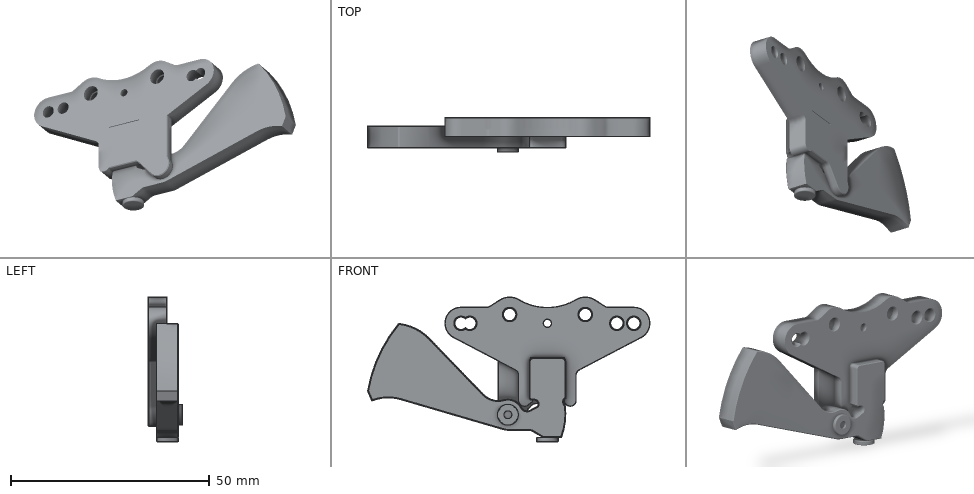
import cadquery as cq
import math


plate_thickness = 4.8
wall_thickness = 2.1
lever_thickness = 5.55
lever_front = wall_thickness + lever_thickness
edge_chamfer = 0.2

small_hole_diameter = 2.0
hole_diameter = 3.1
hole_chamfer = 0.25
counterbore_diameter = 4.0
counterbore_depth = 3.0
ear_hole_x = 21.8
ear_radius = 4.05
left_inner_hole_x = -19.6
right_inner_hole_x = 17.5
lobe_x = 9.5
lobe_z = 2.2
lobe_radius = 4.4
valley_z = 4.0
lobe_slope = 32
ear_corner_radius = 1.5
lower_slope = 27.6
leg_outer_x = 7.25
leg_radius = 1.5
leg_bottom_z = -20.9
armpit_radius = 1.5
toe_tip = (-3.7, -19.7)

block_left_x = -4.55
block_right_x = 4.6
block_top_z = -8.7
block_corner_radius = 0.9
block_bottom_z = -28.75

pivot = (-9.95, -23.05)
arm_radius = 3.9
pivot_head_diameter = 5.3
head_height = 1.0
head_fillet = 0.2
socket_diameter = 2.0
socket_depth = 0.7

wall_left_x = -12.45
wall_boss_diameter = 5.9
wall_boss_radius = wall_boss_diameter / 2
wall_ledge_z = -20.3
wall_slope = 49
wall_fillet = 1.4

paddle_radius = 35.9
paddle_top_angle = 140.1
paddle_bottom_angle = 170.4
paddle_corner_radius = 0.6
paddle_tip = (-44.25, -19.6)
paddle_upper_start_x = -29.8
paddle_lower_start_x = -37.0
upper_edge_slope = 46.0
lower_edge_slope = 16.3
upper_fillet_radius = 5.1
upper_fillet_angle = 106

hook_radius = 1.6
hook_angle = 27.3
hook_floor_slope = 28
hook_end_x = -2.5
hook_end_side = (-2.35, -20.2)
hook_roof = (-3.3, -19.35)
hook_mouth_z = -18.9
hook_mouth_run = 0.35

notch_x = 4.05
notch_top_z = -18.9
notch_bottom = (4.5, -20.65)
heel_side = (4.5, -25.1)
heel_x = 3.55
foot_left_x = -1.15
foot_slope_top_x = -4.2
foot_fillet = 2.1

foot_head_diameter = 5.5
foot_head_height = 1.15
foot_head_fillet = 0.25


def polar(center, radius, angle):
    """Point at an angle, in degrees from +X towards +Z, on a circle."""
    a = math.radians(angle)
    return (center[0] + radius * math.cos(a), center[1] + radius * math.sin(a))


def tangent_arc_middle(start, direction, end):
    """Middle of the arc that leaves start in a direction, in degrees, and finishes at end."""
    chord_x = end[0] - start[0]
    chord_z = end[1] - start[1]
    turn = math.atan2(chord_z, chord_x) - math.radians(direction)
    bulge = math.tan(math.remainder(turn, 2 * math.pi) / 2)
    return (
        start[0] + (chord_x + bulge * chord_z) / 2,
        start[1] + (chord_z - bulge * chord_x) / 2,
    )


def mirrored(point):
    """Outline point on the other side of the plate's middle."""
    return (-point[0], point[1])


def front_plane(depth=0):
    """XZ sketch plane at a depth in front of the back face."""
    return cq.Workplane("XZ", origin=(0, -depth, 0))


def fillet_at(body, point, radius):
    """Round the edge along Y that passes through an outline corner."""
    reach = 0.15
    box = cq.selectors.BoxSelector(
        (point[0] - reach, -lever_front, point[1] - reach),
        (point[0] + reach, lever_front, point[1] + reach),
    )
    return body.edges("|Y").edges(box).fillet(radius)


def make_plate():
    lobe = (lobe_x, lobe_z)
    ear = (ear_hole_x, 0)
    drop = valley_z - lobe_z
    valley_radius = (lobe_x**2 + drop**2 - lobe_radius**2) / (2 * (lobe_radius - drop))
    valley_angle = math.degrees(math.atan2(valley_z + valley_radius - lobe_z, -lobe_x))

    lobe_inner = polar(lobe, lobe_radius, valley_angle)
    lobe_outer = polar(lobe, lobe_radius, 90 - lobe_slope)
    slope_run = (lobe_outer[1] - ear_radius) / math.tan(math.radians(lobe_slope))
    ear_corner = (lobe_outer[0] + slope_run, ear_radius)
    ear_bottom = polar(ear, ear_radius, lower_slope - 90)
    slope_drop = (ear_bottom[0] - leg_outer_x) * math.tan(math.radians(lower_slope))
    armpit = (leg_outer_x, ear_bottom[1] - slope_drop)
    leg_x = leg_outer_x - leg_radius
    leg_inner_x = leg_x - leg_radius
    leg_center = (-leg_x, leg_bottom_z + leg_radius)

    plate = (
        front_plane()
        .moveTo(*mirrored(lobe_inner))
        .threePointArc((0, valley_z), lobe_inner)
        .threePointArc((lobe_x, lobe_z + lobe_radius), lobe_outer)
        .lineTo(*ear_corner)
        .lineTo(ear_hole_x, ear_radius)
        .threePointArc((ear_hole_x + ear_radius, 0), ear_bottom)
        .lineTo(*armpit)
        .lineTo(leg_outer_x, leg_center[1])
        .threePointArc((leg_x, leg_bottom_z), (leg_inner_x, leg_center[1]))
        .lineTo(leg_inner_x, block_top_z)
        .lineTo(-leg_inner_x, block_top_z)
        .lineTo(-leg_inner_x, hook_roof[1])
        .lineTo(toe_tip[0], hook_roof[1])
        .lineTo(*toe_tip)
        .lineTo(*polar(leg_center, leg_radius, -45))
        .threePointArc((-leg_x, leg_bottom_z), (-leg_outer_x, leg_center[1]))
        .lineTo(*mirrored(armpit))
        .lineTo(*mirrored(ear_bottom))
        .threePointArc((-ear_hole_x - ear_radius, 0), (-ear_hole_x, ear_radius))
        .lineTo(*mirrored(ear_corner))
        .lineTo(*mirrored(lobe_outer))
        .threePointArc((-lobe_x, lobe_z + lobe_radius), mirrored(lobe_inner))
        .close()
        .extrude(plate_thickness)
    )
    for corner, radius in ((ear_corner, ear_corner_radius), (armpit, armpit_radius)):
        plate = fillet_at(plate, corner, radius)
        plate = fillet_at(plate, mirrored(corner), radius)
    return plate


def cut_plate_holes(body):
    centers = [
        (-ear_hole_x, 0),
        (left_inner_hole_x, 0),
        (-lobe_x, lobe_z),
        (lobe_x, lobe_z),
        (right_inner_hole_x, 0),
        (ear_hole_x, 0),
    ]
    for center in centers:
        drill = front_plane().center(*center).circle(hole_diameter / 2).extrude(plate_thickness)
        body = body.cut(drill)
        countersink = cq.Solid.makeCone(
            hole_diameter / 2 + hole_chamfer,
            hole_diameter / 2,
            hole_chamfer,
            pnt=cq.Vector(center[0], -plate_thickness, center[1]),
            dir=cq.Vector(0, 1, 0),
        )
        body = body.cut(cq.Workplane(countersink))
    for x in (-lobe_x, lobe_x):
        counterbore = (
            front_plane()
            .center(x, lobe_z)
            .circle(counterbore_diameter / 2)
            .extrude(counterbore_depth)
        )
        body = body.cut(counterbore)
    small_hole = front_plane().circle(small_hole_diameter / 2).extrude(plate_thickness)
    return body.cut(small_hole)


def make_wall():
    """Thin wall closing the back of the slot and carrying the pivot boss."""
    boss_side_z = pivot[1] + math.sqrt(wall_boss_radius**2 - (wall_left_x - pivot[0]) ** 2)
    boss_right = polar(pivot, wall_boss_radius, wall_slope - 90)
    ledge_run = (wall_ledge_z - boss_right[1]) / math.tan(math.radians(wall_slope))
    ledge_corner = (boss_right[0] + ledge_run, wall_ledge_z)
    leg_x = leg_outer_x - leg_radius
    wall = (
        front_plane()
        .moveTo(wall_left_x, block_top_z)
        .lineTo(wall_left_x, boss_side_z)
        .threePointArc((pivot[0], pivot[1] - wall_boss_radius), boss_right)
        .lineTo(*ledge_corner)
        .lineTo(leg_x, wall_ledge_z)
        .lineTo(leg_x, block_top_z)
        .close()
        .extrude(wall_thickness)
    )
    wall = fillet_at(wall, ledge_corner, wall_fillet)
    wall = fillet_at(wall, (wall_left_x, boss_side_z), wall_fillet)
    return wall.faces(">Y").chamfer(edge_chamfer)


def make_lever():
    upper_center = polar(pivot, arm_radius + upper_fillet_radius, upper_fillet_angle)
    upper_line_end = polar(upper_center, upper_fillet_radius, 270 - upper_edge_slope)
    upper_arm_end = polar(pivot, arm_radius, upper_fillet_angle)
    upper_fillet_middle_angle = 225 + (upper_fillet_angle - upper_edge_slope) / 2
    upper_fillet_middle = polar(upper_center, upper_fillet_radius, upper_fillet_middle_angle)
    arm_top = polar(pivot, arm_radius, (upper_fillet_angle + hook_angle) / 2)
    hook_center = polar(pivot, arm_radius + hook_radius, hook_angle)
    hook_arm_end = polar(pivot, arm_radius, hook_angle)
    hook_floor = polar(hook_center, hook_radius, hook_floor_slope - 90)
    hook_bottom = polar(hook_center, hook_radius, 225 + (hook_angle + hook_floor_slope) / 2)
    hook_rise = (hook_end_x - hook_floor[0]) * math.tan(math.radians(hook_floor_slope))

    arm_lower_left = polar(pivot, arm_radius, 270 - lower_edge_slope)
    arm_bottom_z = pivot[1] - arm_radius
    lower_run = arm_lower_left[0] - paddle_lower_start_x
    paddle_lower_z = arm_lower_left[1] + lower_run * math.tan(math.radians(lower_edge_slope))
    paddle_lower_start = (paddle_lower_start_x, paddle_lower_z)
    underside_middle = tangent_arc_middle(paddle_lower_start, 180 - lower_edge_slope, paddle_tip)

    upper_run = upper_line_end[0] - paddle_upper_start_x
    paddle_upper_z = upper_line_end[1] + upper_run * math.tan(math.radians(upper_edge_slope))
    paddle_upper_start = (paddle_upper_start_x, paddle_upper_z)
    paddle_top = polar(pivot, paddle_radius, paddle_top_angle)
    shoulder_middle = tangent_arc_middle(paddle_upper_start, 180 - upper_edge_slope, paddle_top)
    paddle_mid_angle = (paddle_top_angle + paddle_bottom_angle) / 2
    foot_slope_top = (foot_slope_top_x, arm_bottom_z)

    lever = (
        front_plane(wall_thickness)
        .moveTo(block_left_x, block_top_z)
        .lineTo(block_right_x, block_top_z)
        .lineTo(block_right_x, notch_top_z)
        .threePointArc((notch_x, (notch_top_z + notch_bottom[1]) / 2), notch_bottom)
        .threePointArc(heel_side, (heel_x, block_bottom_z))
        .lineTo(foot_left_x, block_bottom_z)
        .lineTo(*foot_slope_top)
        .lineTo(pivot[0], arm_bottom_z)
        .threePointArc(polar(pivot, arm_radius, 270 - lower_edge_slope / 2), arm_lower_left)
        .lineTo(*paddle_lower_start)
        .threePointArc(underside_middle, paddle_tip)
        .lineTo(*polar(pivot, paddle_radius, paddle_bottom_angle))
        .threePointArc(polar(pivot, paddle_radius, paddle_mid_angle), paddle_top)
        .threePointArc(shoulder_middle, paddle_upper_start)
        .lineTo(*upper_line_end)
        .threePointArc(upper_fillet_middle, upper_arm_end)
        .threePointArc(arm_top, hook_arm_end)
        .threePointArc(hook_bottom, hook_floor)
        .lineTo(hook_end_x, hook_floor[1] + hook_rise)
        .threePointArc(hook_end_side, hook_roof)
        .lineTo(block_left_x + hook_mouth_run, hook_roof[1])
        .lineTo(block_left_x, hook_mouth_z)
        .close()
        .extrude(lever_thickness)
    )
    for x in (block_left_x, block_right_x):
        lever = fillet_at(lever, (x, block_top_z), block_corner_radius)
    lever = fillet_at(lever, foot_slope_top, foot_fillet)
    lever = fillet_at(lever, paddle_top, paddle_corner_radius)
    return lever.faces("<Y").chamfer(edge_chamfer)


def make_pivot_head():
    head = front_plane(lever_front).center(*pivot).circle(pivot_head_diameter / 2).extrude(head_height)
    head = head.edges().fillet(head_fillet)
    socket = (
        front_plane(lever_front + head_height - socket_depth)
        .center(*pivot)
        .circle(socket_diameter / 2)
        .extrude(socket_depth)
    )
    return head.cut(socket)


def make_foot_head():
    return (
        cq.Workplane("XY", origin=(0, -wall_thickness - lever_thickness / 2, block_bottom_z))
        .circle(foot_head_diameter / 2)
        .extrude(-foot_head_height)
        .edges()
        .fillet(foot_head_fillet)
    )


result = cut_plate_holes(make_plate())
for piece in (make_wall(), make_lever(), make_pivot_head(), make_foot_head()):
    result = result.union(piece)